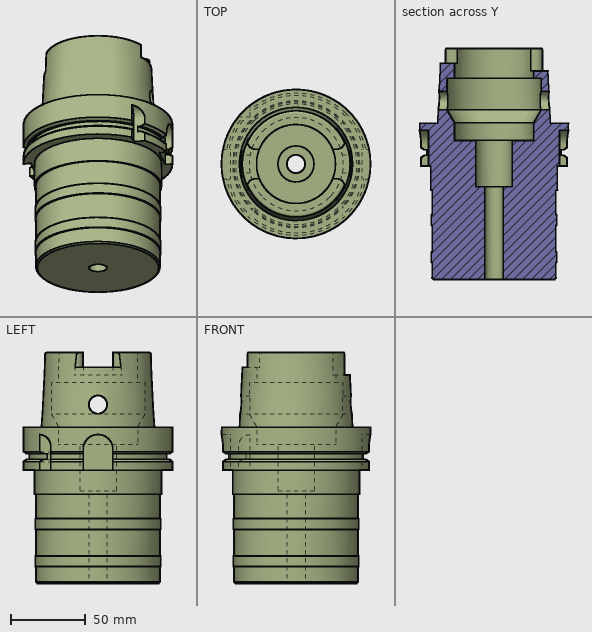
import cadquery as cq

height = 155.0
flange_top = 105.0
flange_bottom = 76.1
shoulder_bottom = 59.8
band_bottoms = (11.2, 36.1)
band_height = 7.6
band_chamfer = 0.3
bottom_chamfer = 1.1

flange_diameter = 100.0
flange_radius = flange_diameter / 2
taper_base_radius = 38.0
taper_top_radius = 35.5
taper_rim_fillet = 1.7
shoulder_radius = 42.6
body_radius = 41.7
band_radius = 42.2

groove_floor_radius = 46.2
groove_floor_bottom = 83.4
groove_floor_top = 87.0
groove_side_height = 1.5
groove_side_depth = 1.5

bore_radius = 26.5
recess_top = 134.8
recess_radius = 31.5
recess_bottom = 113.8
recess_cone_height = 8.5
bore_floor = 93.3
socket_radius = 12.1
socket_depth = 31.0
passage_radius = 6.0
cross_hole_radius = 6.0
cross_hole_height = 120.0

key_width = 20.0
key_half_width = key_width / 2
notch_depths = {-1: 9.9, 1: 15.0}
tip_distance = 32.5
tip_fillet = 5.0

slot_top = 100.0
keyway_floor_distance = 44.0
index_floor_distance = 31.2
index_slot_edge = 31.6
index_half_width = 8.0


def revolve(points):
    """Turn a half profile of (radius, height) points around the Z axis."""
    return cq.Workplane("XZ").polyline(points).close().revolve(360, (0, 0, 0), (0, 1, 0))


def cylinder(radius, bottom, top):
    return cq.Workplane("XY").workplane(offset=bottom).circle(radius).extrude(top - bottom)


def make_taper():
    taper = revolve([
        (0, flange_top),
        (taper_base_radius, flange_top),
        (taper_top_radius, height),
        (0, height),
    ])
    return taper.faces(">Z").edges().fillet(taper_rim_fillet)


def make_flange():
    groove_mouth_radius = groove_floor_radius + groove_side_depth
    groove_bottom = groove_floor_bottom - groove_side_height
    groove_top = groove_floor_top + groove_side_height
    return revolve([
        (0, flange_bottom),
        (flange_radius, flange_bottom),
        (flange_radius, groove_bottom),
        (groove_mouth_radius, groove_floor_bottom),
        (groove_floor_radius, groove_floor_bottom),
        (groove_floor_radius, groove_floor_top),
        (groove_mouth_radius, groove_floor_top),
        (flange_radius, groove_top),
        (flange_radius, flange_top),
        (0, flange_top),
    ])


def make_body():
    body = cylinder(body_radius, 0, shoulder_bottom).faces("<Z").chamfer(bottom_chamfer)
    body = body.union(cylinder(shoulder_radius, shoulder_bottom, flange_bottom))
    for bottom in band_bottoms:
        band = cylinder(band_radius, bottom, bottom + band_height)
        body = body.union(band.faces("<Z or >Z").edges().chamfer(band_chamfer))
    return body


def make_bore():
    """Bore widened by a recess that narrows back through a cone, above a socket and a through passage."""
    cone_bottom = recess_bottom - recess_cone_height
    socket_bottom = bore_floor - socket_depth
    return revolve([
        (0, 0),
        (passage_radius, 0),
        (passage_radius, socket_bottom),
        (socket_radius, socket_bottom),
        (socket_radius, bore_floor),
        (bore_radius, bore_floor),
        (bore_radius, cone_bottom),
        (recess_radius, recess_bottom),
        (recess_radius, recess_top),
        (bore_radius, recess_top),
        (bore_radius, height),
        (0, height),
    ])


def make_cross_hole():
    hole = cq.Workplane("YZ").center(0, cross_hole_height).circle(cross_hole_radius)
    return hole.extrude(flange_radius, both=True)


def make_drive_notch(side):
    """Slot through the taper rim, flaring outward around its rounded corners."""
    depth = notch_depths[side]
    half_flare = key_half_width + 2 * tip_fillet
    slot = cq.Workplane("XY").box(tip_distance, key_width, depth, centered=(False, True, False))
    flare = (
        cq.Workplane("XY")
        .moveTo(tip_distance - tip_fillet, key_half_width)
        .radiusArc((tip_distance, key_half_width + tip_fillet), -tip_fillet)
        .lineTo(tip_distance, half_flare)
        .lineTo(flange_radius, half_flare)
        .lineTo(flange_radius, -half_flare)
        .lineTo(tip_distance, -half_flare)
        .lineTo(tip_distance, -key_half_width - tip_fillet)
        .radiusArc((tip_distance - tip_fillet, -key_half_width), -tip_fillet)
        .close()
        .extrude(depth)
    )
    notch = slot.union(flare).translate((0, 0, height - depth))
    return notch if side > 0 else notch.mirror("YZ")


def make_flange_slot(center_y, half_width, floor_distance):
    """Round-topped slot, open at the flange underside, cut along X down to a flat floor."""
    arc_height = slot_top - half_width
    return (
        cq.Workplane("YZ")
        .workplane(offset=floor_distance)
        .moveTo(center_y - half_width, flange_bottom)
        .lineTo(center_y - half_width, arc_height)
        .threePointArc((center_y, slot_top), (center_y + half_width, arc_height))
        .lineTo(center_y + half_width, flange_bottom)
        .close()
        .extrude(flange_radius - floor_distance)
    )


result = make_body().union(make_flange()).union(make_taper())
result = result.cut(make_bore()).cut(make_cross_hole())

for side in (-1, 1):
    result = result.cut(make_drive_notch(side))

keyway = make_flange_slot(0, key_half_width, keyway_floor_distance)
index_slot = make_flange_slot(index_slot_edge + index_half_width, index_half_width, index_floor_distance)
result = result.cut(keyway).cut(keyway.mirror("YZ")).cut(index_slot.mirror("YZ"))